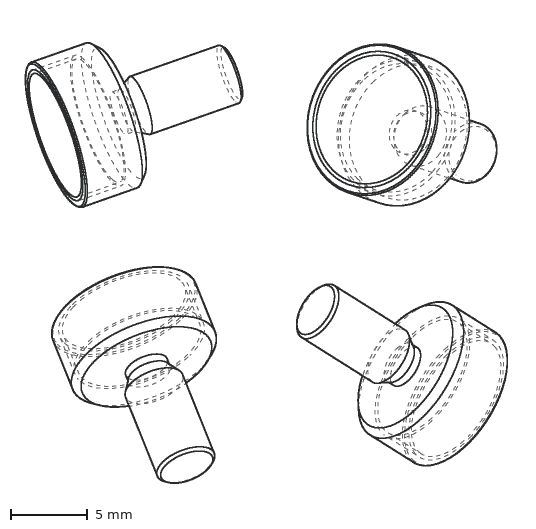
import cadquery as cq

total_length = 12.5

head_diameter = 10.0
head_length = 4.5
rim_chamfer = 0.1
shoulder_chamfer = 0.5

stud_diameter = 4.0
neck_diameter = 2.9
neck_length = 0.55
cone_length = 0.95
tip_chamfer = 0.2

ring_diameter = 9.0
magnet_diameter = 8.5
recess_depth = 3.0

front_y = -total_length / 2
shoulder_y = front_y + head_length
recess_floor_y = front_y + recess_depth
cone_start_y = shoulder_y + neck_length
cone_end_y = cone_start_y + cone_length
tip_y = front_y + total_length


def cylinder_along_y(diameter, start_y, end_y):
    """Solid cylinder on the Y axis between two Y positions."""
    plane = cq.Plane(origin=(0, start_y, 0), xDir=(1, 0, 0), normal=(0, 1, 0))
    return cq.Workplane(plane).circle(diameter / 2).extrude(end_y - start_y)


def make_housing():
    """Head and stud in one turned piece, with a round recess in the front."""
    head_radius = head_diameter / 2
    neck_radius = neck_diameter / 2
    stud_radius = stud_diameter / 2
    half_profile = [
        (0, front_y),
        (head_radius - rim_chamfer, front_y),
        (head_radius, front_y + rim_chamfer),
        (head_radius, shoulder_y - shoulder_chamfer),
        (head_radius - shoulder_chamfer, shoulder_y),
        (neck_radius, shoulder_y),
        (neck_radius, cone_start_y),
        (stud_radius, cone_end_y),
        (stud_radius, tip_y - tip_chamfer),
        (stud_radius - tip_chamfer, tip_y),
        (0, tip_y),
    ]
    turned = cq.Workplane("XY").polyline(half_profile).close().revolve(360, (0, 0), (0, 1))
    return turned.cut(cylinder_along_y(ring_diameter, front_y, recess_floor_y))


def make_magnet():
    """Round magnet that stands on the recess floor."""
    return cylinder_along_y(magnet_diameter, front_y, recess_floor_y)


def make_ring():
    """Spacer ring that fills the space between the magnet and the housing."""
    return cylinder_along_y(ring_diameter, front_y, recess_floor_y).cut(make_magnet())


housing = make_housing()
ring = make_ring()
magnet = make_magnet()

result = cq.Compound.makeCompound([housing.val(), ring.val(), magnet.val()])